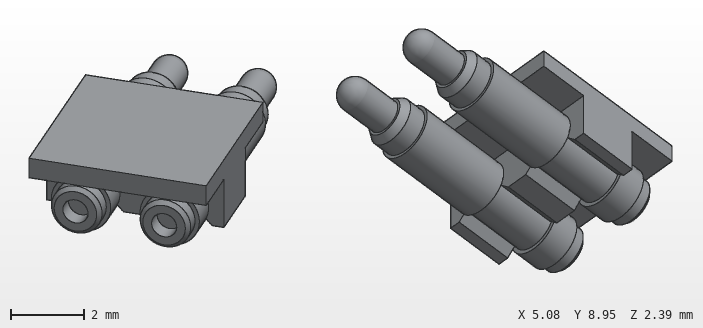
import cadquery as cq
import math

HOUSING_WIDTH = 5.08
HOUSING_HEIGHT = 2.1
PLATE_LENGTH = 4.99
PLATE_THICKNESS = 0.61
WALL_REAR_Y = 1.56
WALL_FRONT_Y = 3.45
LEAD_IN_HALF_WIDTH = 0.94

PIN_COUNT = 2
PIN_PITCH = 2.54
PIN_AXIS_Z = -1.54

COLLAR_RADIUS = 0.85
SHAFT_RADIUS = 0.725
BARREL_RADIUS = 0.75
BARREL_NOSE_RADIUS = 0.59
PLUNGER_RADIUS = 0.51
BORE_RADIUS = 0.36

TAIL_Y = 0.2
REAR_COLLAR_START_Y = 0.69
BORE_END_Y = REAR_COLLAR_START_Y
REAR_COLLAR_END_Y = 1.5
FRONT_COLLAR_START_Y = 3.535
FRONT_COLLAR_END_Y = 6.52
BARREL_END_Y = 7.31
TIP_Y = 8.95

TAIL_CHAMFER = 0.12
BARREL_TAPER_LENGTH = 0.25
TIP_ROUND = 0.48

PIN_CENTERS_X = [(i - (PIN_COUNT - 1) / 2) * PIN_PITCH for i in range(PIN_COUNT)]


def make_clip_cutter(center_x):
    """Pin hole and its flared 45 degree mouth, through the cross-wall."""
    wall_length = WALL_FRONT_Y - WALL_REAR_Y
    front_plane = cq.Workplane("XZ", origin=(center_x, WALL_FRONT_Y, 0))
    hole = front_plane.center(0, PIN_AXIS_Z).circle(SHAFT_RADIUS).extrude(wall_length)
    mouth = (
        front_plane.moveTo(-LEAD_IN_HALF_WIDTH, -HOUSING_HEIGHT)
        .lineTo(LEAD_IN_HALF_WIDTH, -HOUSING_HEIGHT)
        .lineTo(0, LEAD_IN_HALF_WIDTH - HOUSING_HEIGHT)
        .close()
        .extrude(wall_length)
    )
    return hole.union(mouth)


def make_housing():
    plate = cq.Workplane("XY").box(
        HOUSING_WIDTH, PLATE_LENGTH, PLATE_THICKNESS, centered=(True, False, False)
    ).translate((0, 0, -PLATE_THICKNESS))
    wall = cq.Workplane("XY").box(
        HOUSING_WIDTH, WALL_FRONT_Y - WALL_REAR_Y, HOUSING_HEIGHT, centered=(True, False, False)
    ).translate((0, WALL_REAR_Y, -HOUSING_HEIGHT))
    housing = plate.union(wall)
    for center_x in PIN_CENTERS_X:
        housing = housing.cut(make_clip_cutter(center_x))
    return housing


def make_pin(center_x):
    """Pin turned from a half outline of (radius, Y) points, revolved about its axis."""
    tip_round_y = TIP_Y - TIP_ROUND
    tip_flat_radius = PLUNGER_RADIUS - TIP_ROUND
    tip_round_offset = TIP_ROUND * math.sqrt(0.5)
    return (
        cq.Workplane("XY")
        .moveTo(0, BORE_END_Y)
        .lineTo(BORE_RADIUS, BORE_END_Y)
        .lineTo(BORE_RADIUS, TAIL_Y)
        .lineTo(SHAFT_RADIUS - TAIL_CHAMFER, TAIL_Y)
        .lineTo(SHAFT_RADIUS, TAIL_Y + TAIL_CHAMFER)
        .lineTo(SHAFT_RADIUS, REAR_COLLAR_START_Y)
        .lineTo(COLLAR_RADIUS, REAR_COLLAR_START_Y)
        .lineTo(COLLAR_RADIUS, REAR_COLLAR_END_Y)
        .lineTo(SHAFT_RADIUS, REAR_COLLAR_END_Y)
        .lineTo(SHAFT_RADIUS, FRONT_COLLAR_START_Y)
        .lineTo(COLLAR_RADIUS, FRONT_COLLAR_START_Y)
        .lineTo(COLLAR_RADIUS, FRONT_COLLAR_END_Y)
        .lineTo(BARREL_RADIUS, FRONT_COLLAR_END_Y)
        .lineTo(BARREL_RADIUS, BARREL_END_Y - BARREL_TAPER_LENGTH)
        .lineTo(BARREL_NOSE_RADIUS, BARREL_END_Y)
        .lineTo(PLUNGER_RADIUS, BARREL_END_Y)
        .lineTo(PLUNGER_RADIUS, tip_round_y)
        .threePointArc(
            (tip_flat_radius + tip_round_offset, tip_round_y + tip_round_offset),
            (tip_flat_radius, TIP_Y),
        )
        .lineTo(0, TIP_Y)
        .close()
        .revolve(360, (0, 0, 0), (0, 1, 0))
        .translate((center_x, 0, PIN_AXIS_Z))
    )


housing = make_housing()
pins = [make_pin(center_x) for center_x in PIN_CENTERS_X]

result = cq.Compound.makeCompound([housing.val(), *[pin.val() for pin in pins]])